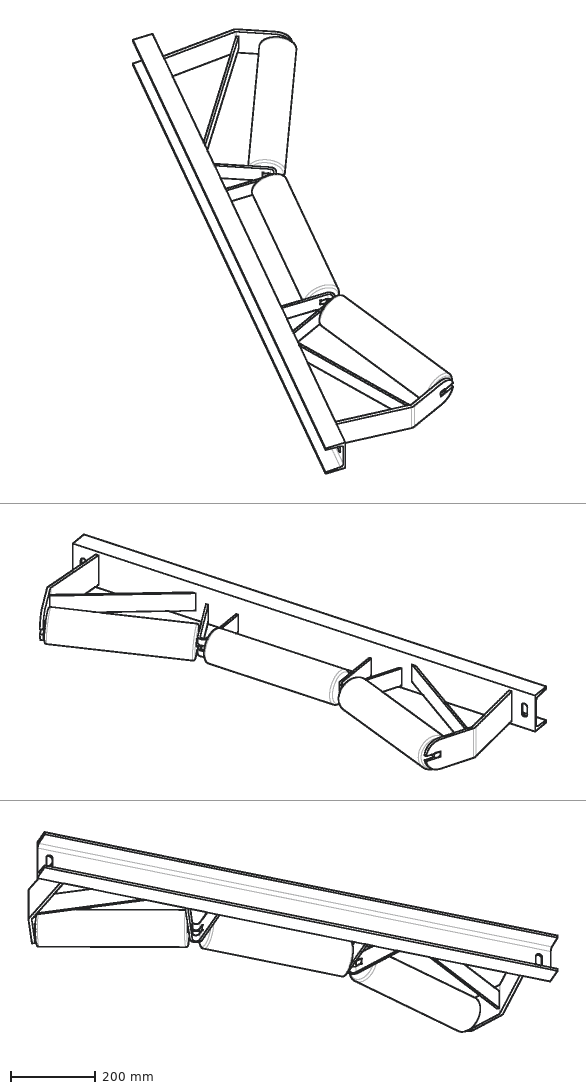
import cadquery as cq
import math


beam_length = 1300.0
beam_height = 100.0
beam_middle = beam_height / 2.0
flange_width = 50.0
web_thickness = 5.0
flange_thickness = 8.5
flange_slope = 0.08
root_radius = 8.5

slot_end_distance = 30.0
slot_width = 16.0
slot_length = 36.0

trough_angle = 25.0
forward_tilt = 3.0
roller_diameter = 89.0
roller_length = 360.0
roller_edge_radius = 5.0
center_roller_y = 118.0
center_roller_z = 30.0
side_roller_x = 383.0
side_roller_y = 202.7
side_roller_z = 39.5

shaft_diameter = 18.0
shaft_flat_width = 14.0
shaft_end_reach = 10.5
shaft_length = roller_length + 2 * shaft_end_reach
shaft_slot_depth = 60.0

narrow_plate_width = 48.0
narrow_plate_thickness = 6.0
inner_leg_x = 187.0
inner_foot_x = 272.0
inner_bend_radius = 12.0
brace_foot_x = 309.0
brace_top_y = 197.0

wide_plate_width = 82.0
wide_plate_thickness = 8.0
outer_foot_x = 581.0
outer_bend_x = 597.0
outer_bend_y = 189.0
outer_bend_radius = 12.0
outer_tip_y = 312.0
outer_tip_radius = 40.0

foot_overrun = 3.0

lean_sin = math.sin(math.radians(trough_angle))
lean_cos = math.cos(math.radians(trough_angle))
lean_tan = lean_sin / lean_cos


def bent_plate(points, thickness, width, middle_z, bend_radius=0.0):
    """Upright strip that follows a line of points, each inner point being a bend."""
    path = cq.Workplane("XY").polyline(points).wire().val()
    if bend_radius:
        path = path.fillet2D(bend_radius, path.Vertices()[1:-1])
    start = cq.Vector(*points[0])
    along = cq.Vector(*points[1]) - start
    section = cq.Plane(start, xDir=(along.y, -along.x, 0), normal=along)
    strip = cq.Workplane(section).rect(thickness, width).sweep(path)
    return strip.translate((0, 0, middle_z))


def make_beam():
    """Channel with sloping inner flange faces and a mounting slot near each end."""
    toe = flange_thickness - flange_slope * flange_width / 2.0
    root = flange_thickness + flange_slope * (flange_width / 2.0 - web_thickness)
    outline = [
        (0, 0),
        (-flange_width, 0),
        (-flange_width, toe),
        (-web_thickness, root),
        (-web_thickness, beam_height - root),
        (-flange_width, beam_height - toe),
        (-flange_width, beam_height),
        (0, beam_height),
    ]
    beam_end = cq.Workplane("YZ").workplane(offset=-beam_length / 2.0)
    beam = beam_end.polyline(outline).close().extrude(beam_length)
    for z in (root, beam_height - root):
        root_edge = cq.NearestToPointSelector((0, -web_thickness, z))
        beam = beam.edges(root_edge).fillet(root_radius)

    slot_x = beam_length / 2.0 - slot_end_distance
    slots = (
        cq.Workplane("XZ")
        .pushPoints([(-slot_x, beam_middle), (slot_x, beam_middle)])
        .slot2D(slot_length, slot_width, 90)
        .extrude(web_thickness)
    )
    return beam.cut(slots)


def make_inner_bracket():
    """Narrow bent plate that carries the inner ends of the centre and left rollers."""
    corner_y = (inner_foot_x - inner_leg_x) / lean_tan
    points = [
        (-inner_leg_x, 0),
        (-inner_leg_x, corner_y),
        (-inner_foot_x - foot_overrun * lean_tan, -foot_overrun),
    ]
    return bent_plate(
        points, narrow_plate_thickness, narrow_plate_width, center_roller_z, inner_bend_radius
    )


def make_outer_bracket():
    """Wide bent plate with a rounded tip that carries the outer end of the left roller."""
    tip_x = outer_bend_x - (outer_tip_y - outer_bend_y) * lean_tan
    foot_slope = (outer_bend_x - outer_foot_x) / outer_bend_y
    points = [
        (-outer_foot_x + foot_overrun * foot_slope, -foot_overrun),
        (-outer_bend_x, outer_bend_y),
        (-tip_x, outer_tip_y),
    ]
    bracket = bent_plate(
        points, wide_plate_thickness, wide_plate_width, beam_middle, outer_bend_radius
    )
    across_plate = cq.selectors.ParallelDirSelector(cq.Vector(-lean_cos, lean_sin, 0))
    return bracket.faces(">Y").edges(across_plate).fillet(outer_tip_radius)


def make_brace():
    """Straight strip from the beam to the bend of the left outer bracket."""
    slope = (outer_bend_x - brace_foot_x) / brace_top_y
    points = [
        (-brace_foot_x + foot_overrun * slope, -foot_overrun),
        (-outer_bend_x, brace_top_y),
    ]
    return bent_plate(points, narrow_plate_thickness, narrow_plate_width, beam_middle)


def roller_plane(x, y, z, lean=0.0, tilt=0.0):
    """Plane across the middle of a roller, its X pointing out of the shaft slots."""
    lean = math.radians(lean)
    tilt = math.radians(tilt)
    along = (math.cos(lean) * math.cos(tilt), math.sin(lean) * math.cos(tilt), math.sin(tilt))
    return cq.Plane((x, y, z), xDir=(-math.sin(lean), math.cos(lean), 0), normal=along)


def end_plane(plane, length):
    """Workplane half a length back along a roller, to extrude evenly about its middle."""
    return cq.Workplane(plane).workplane(offset=-length / 2.0)


def round_bar(plane, diameter, length):
    """Cylinder along a roller's axis, evenly about its middle."""
    return end_plane(plane, length).circle(diameter / 2.0).extrude(length)


def make_roller(plane):
    """Cylinder with rounded ends, bored for its shaft."""
    roller = round_bar(plane, roller_diameter, roller_length).edges().fillet(roller_edge_radius)
    return roller.cut(round_bar(plane, shaft_diameter, roller_length))


def make_shaft(plane):
    """Round shaft with two flats on each end that reaches beyond the roller."""
    flats = end_plane(plane, shaft_length).rect(shaft_diameter, shaft_flat_width).extrude(shaft_length)
    flat_bar = round_bar(plane, shaft_diameter, shaft_length).intersect(flats)
    return flat_bar.union(round_bar(plane, shaft_diameter, roller_length))


def make_shaft_slots(plane):
    """Space for both flat shaft ends, open towards the plate tips."""
    span = shaft_length + 2 * wide_plate_thickness
    slots = (
        end_plane(plane, span)
        .center((shaft_slot_depth - shaft_diameter) / 2.0, 0)
        .rect(shaft_slot_depth, shaft_flat_width)
        .extrude(span)
    )
    between_ends = round_bar(plane, 2 * shaft_slot_depth, roller_length)
    return slots.cut(between_ends)


def make_frame(planes):
    """Beam with the brackets and braces welded on at both sides, slotted for the shafts."""
    supports = make_outer_bracket().union(make_inner_bracket()).union(make_brace())
    beam_space = cq.Workplane("XY").box(
        beam_length, flange_width, beam_height, centered=(True, False, False)
    )
    supports = supports.cut(beam_space.translate((0, -flange_width, 0)))
    frame = make_beam().union(supports).union(supports.mirror("YZ"))
    for plane in planes:
        frame = frame.cut(make_shaft_slots(plane))
    return frame


roller_planes = [roller_plane(0, center_roller_y, center_roller_z)]
for side in (-1, 1):
    roller_planes.append(
        roller_plane(
            side * side_roller_x,
            side_roller_y,
            side_roller_z,
            side * trough_angle,
            side * forward_tilt,
        )
    )

frame = make_frame(roller_planes)
rollers = [make_roller(plane) for plane in roller_planes]
shafts = [make_shaft(plane) for plane in roller_planes]

result = cq.Compound.makeCompound(
    [
        frame.val(),
        *[roller.val() for roller in rollers],
        *[shaft.val() for shaft in shafts],
    ]
)